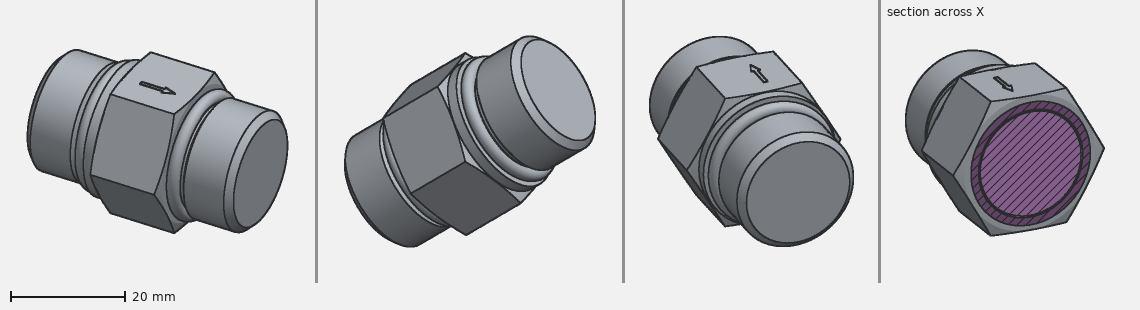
import cadquery as cq
import math

length = 41.15
collar_start = 12.67
hex_start = 14.7
hex_end = 28.48

thread_diameter = 22.22
face_diameter = 19.65
thread_depth = (thread_diameter - face_diameter) / 2
runout_angle = 30.0
runout_length = thread_depth * math.tan(math.radians(runout_angle))

collar_diameter = 25.15
hex_across_flats = 25.4
hex_across_corners = hex_across_flats / math.cos(math.radians(30))
hex_chamfer_angle = 15.0

ring_section = 2.43
ring_outer_diameter = 24.1
ring_centre_radius = (ring_outer_diameter - ring_section) / 2
ring_stations = [collar_start - ring_section / 2, hex_end + ring_section / 2]
groove_width = 2.67
neck_diameter = face_diameter
groove_starts = [collar_start - groove_width, hex_end]

arrow_start = 18.2
arrow_length = 6.87
arrow_y = -1.7
arrow_shaft_width = 0.75
arrow_head_length = 2.35
arrow_head_width = 1.7
arrow_depth = 0.12


def cylinder(start, end, diameter):
    """Cylinder about the X axis between two stations."""
    return cq.Workplane("YZ", origin=(start, 0, 0)).circle(diameter / 2).extrude(end - start)


def make_thread_blank(face, groove_side):
    """Threaded end: 45 degree chamfer at the outer face, conical run-out at the groove."""
    inward = math.copysign(1, groove_side - face)
    return (
        cq.Workplane("XY")
        .moveTo(face, 0)
        .lineTo(face, face_diameter / 2)
        .lineTo(face + inward * thread_depth, thread_diameter / 2)
        .lineTo(groove_side - inward * runout_length, thread_diameter / 2)
        .lineTo(groove_side, face_diameter / 2)
        .lineTo(groove_side, 0)
        .close()
        .revolve(360, (0, 0, 0), (1, 0, 0))
    )


def make_hexagon():
    """Hexagon with flats at top and bottom, its corners trimmed by a cone at each end."""
    prism = (
        cq.Workplane("YZ", origin=(hex_start, 0, 0))
        .polygon(6, hex_across_corners)
        .extrude(hex_end - hex_start)
    )
    corner_radius = hex_across_corners / 2
    face_radius = hex_across_flats / 2
    chamfer_length = (corner_radius - face_radius) * math.tan(math.radians(hex_chamfer_angle))
    envelope = (
        cq.Workplane("XY")
        .moveTo(hex_start, 0)
        .lineTo(hex_start, face_radius)
        .lineTo(hex_start + chamfer_length, corner_radius)
        .lineTo(hex_end - chamfer_length, corner_radius)
        .lineTo(hex_end, face_radius)
        .lineTo(hex_end, 0)
        .close()
        .revolve(360, (0, 0, 0), (1, 0, 0))
    )
    return prism.intersect(envelope)


def make_arrow():
    """Arrow-shaped block that leaves the engraving when cut from the top flat."""
    tip = arrow_start + arrow_length
    head_start = tip - arrow_head_length
    top = hex_across_flats / 2
    return (
        cq.Workplane("XY", origin=(0, arrow_y, top - arrow_depth))
        .moveTo(arrow_start, -arrow_shaft_width / 2)
        .lineTo(head_start, -arrow_shaft_width / 2)
        .lineTo(head_start, -arrow_head_width / 2)
        .lineTo(tip, 0)
        .lineTo(head_start, arrow_head_width / 2)
        .lineTo(head_start, arrow_shaft_width / 2)
        .lineTo(arrow_start, arrow_shaft_width / 2)
        .close()
        .extrude(2 * arrow_depth)
    )


def make_o_ring(station):
    """O-ring about the X axis, centred on the given station."""
    return (
        cq.Workplane("XY")
        .center(station, ring_centre_radius)
        .circle(ring_section / 2)
        .revolve(360, (0, -ring_centre_radius, 0), (1, -ring_centre_radius, 0))
    )


def make_body():
    """Valve body: threaded ends, necks with O-ring seats, a collar and the engraved hexagon."""
    left_groove, right_groove = groove_starts
    body = make_hexagon().union(cylinder(collar_start, hex_start, collar_diameter))
    for start in groove_starts:
        body = body.union(cylinder(start, start + groove_width, neck_diameter))
    body = body.union(make_thread_blank(0, left_groove))
    body = body.union(make_thread_blank(length, right_groove + groove_width))
    for station in ring_stations:
        body = body.cut(make_o_ring(station))
    return body.cut(make_arrow())


body = make_body()
o_rings = [make_o_ring(station) for station in ring_stations]

result = cq.Compound.makeCompound([body.solids().val(), *[ring.val() for ring in o_rings]])